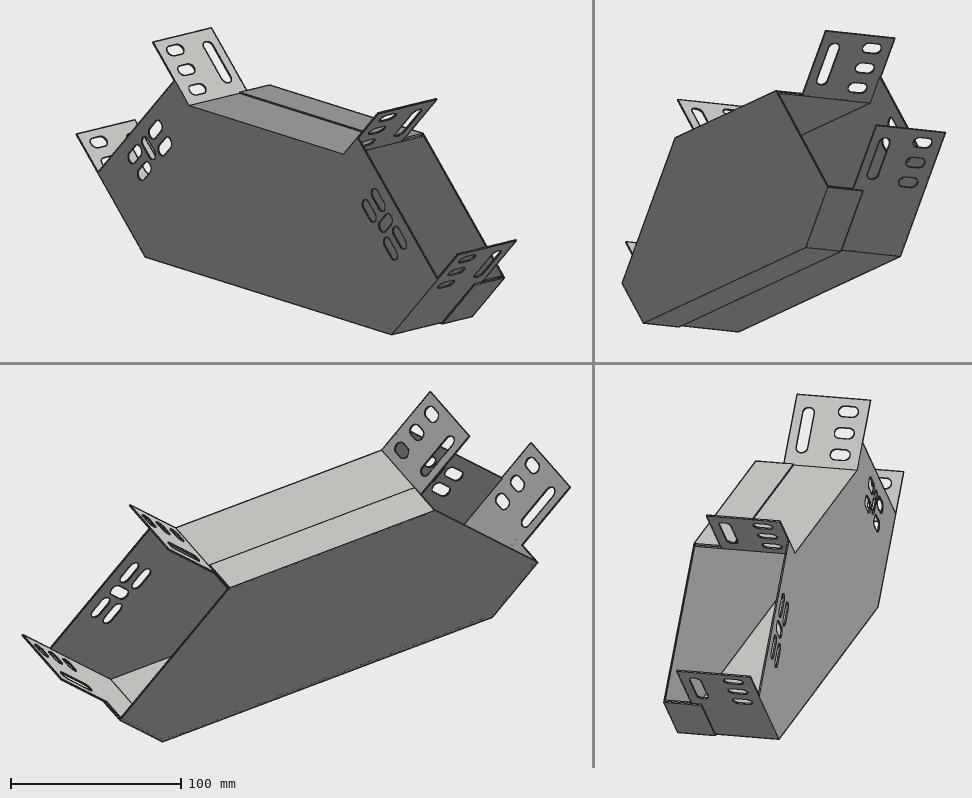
import cadquery as cq
import math

sheet = 0.8
clear_width = 100.0
clear_depth = 60.0
outer_run = 225.2
outer_leg = 60.4
tab_length = 27.2
tab_depth = 44.8
cover_lip = 23.0
tray_width = clear_width + 2 * sheet
depth = clear_depth + 2 * sheet

slot_width = 7.0
cutter_reach = 2 * sheet
tab_slot_pitch = 14.0
tab_slot_first = 8.5
tab_short_slots = 3
tab_short_slot = 12.0
tab_short_slot_y = 12.0
tab_long_slot = 29.4
tab_long_slot_inset = 9.0
tab_long_slot_y = tab_depth - tab_long_slot_inset
plate_slot = 15.0
plate_slot_spacing = 27.0
plate_row_insets = (11.25, 23.25)
plate_middle_inset = 15.7

turn_x = -0.41
turn_y = -1.6
turn_z = 1.25

bend = math.radians(45.0)
half_bend = bend / 2
cover_setback = outer_leg - (tray_width + sheet) * math.tan(half_bend)
leg_dir = math.cos(bend)


def bend_point(across):
    """Right-hand bend at a distance across the tray from the outer wall face."""
    return (outer_run / 2 - across * math.tan(half_bend), across)


def end_point(across, past_end):
    """Right-hand leg point at a distance across the tray and past the tray end."""
    along = outer_leg + past_end
    return (outer_run / 2 + (along - across) * leg_dir, (along + across) * leg_dir)


def prism(right_half, y_start, y_stop):
    """Extrude along Y the outline made of the right half points and their mirror image."""
    left_half = [(-x, z) for x, z in reversed(right_half)]
    outline = cq.Workplane("XZ", origin=(0, y_start, 0)).polyline(right_half + left_half).close()
    return outline.extrude(y_start - y_stop)


def elbow(across_start, across_stop, past_end, y_start, y_stop):
    """Band following both bends out to the legs."""
    right_half = [
        bend_point(across_start),
        end_point(across_start, past_end),
        end_point(across_stop, past_end),
        bend_point(across_stop),
    ]
    return prism(right_half, y_start, y_stop)


def middle_run(across_start, across_stop, y_start, y_stop):
    """Straight band between the two bends."""
    return prism([bend_point(across_start), bend_point(across_stop)], y_start, y_stop)


def both_legs(cutter):
    """Add the mirror image on the left leg to a right-leg cutter."""
    return cutter.union(cutter.mirror("YZ"))


def tab_slots(across):
    """Slots through the wall centred at the given distance across, on both legs."""
    def on_wall(from_tip, y):
        x, z = end_point(across, tab_length - from_tip)
        leg = (leg_dir, 0, leg_dir)
        across_leg = (-leg_dir, 0, leg_dir)
        return cq.Workplane(cq.Plane(origin=(x, y, z), xDir=leg, normal=across_leg))

    middle = tab_slot_first + tab_slot_pitch * (tab_short_slots - 1) / 2
    slots = on_wall(middle, tab_long_slot_y).slot2D(tab_long_slot, slot_width)
    slots = slots.extrude(cutter_reach, both=True)
    for step in range(tab_short_slots):
        place = on_wall(tab_slot_first + step * tab_slot_pitch, tab_short_slot_y)
        short_slot = place.slot2D(tab_short_slot, slot_width, 90)
        slots = slots.union(short_slot.extrude(cutter_reach, both=True))
    return both_legs(slots)


def plate_slots():
    """Two rows of slots parallel to each tray end and one slot square to it between them."""
    def slot(across, inset, angle):
        x, z = end_point(across, -inset)
        plane = cq.Plane(origin=(x, 0, z), xDir=(leg_dir, 0, leg_dir), normal=(0, -1, 0))
        return cq.Workplane(plane).slot2D(plate_slot, slot_width, angle).extrude(cutter_reach, both=True)

    slots = slot(tray_width / 2, plate_middle_inset, 0)
    for inset in plate_row_insets:
        for side in (-1, 1):
            slots = slots.union(slot(tray_width / 2 + side * plate_slot_spacing / 2, inset, 90))
    return both_legs(slots)


def make_tray():
    """Front plate, outer and inner walls with end tabs, and all slots."""
    tray = elbow(0, tray_width, 0, 0, sheet)
    inner_wall = tray_width - sheet
    wall_top = depth - sheet
    tray = tray.union(elbow(0, sheet, tab_length, 0, tab_depth))
    tray = tray.union(elbow(inner_wall, tray_width, tab_length, 0, tab_depth))
    tray = tray.union(elbow(0, sheet, -cover_setback, 0, wall_top))
    tray = tray.union(middle_run(inner_wall, tray_width, 0, wall_top))
    for wall_middle in (sheet / 2, tray_width - sheet / 2):
        tray = tray.cut(tab_slots(wall_middle))
    return tray.cut(plate_slots())


def make_cover():
    """Back plate with flanges lapping over the outside of the tray walls."""
    lip_start = depth - cover_lip
    plate_bottom = depth - sheet
    inner_face = tray_width + sheet
    plate_half = [bend_point(-sheet), end_point(-sheet, -cover_setback), bend_point(inner_face)]
    cover = prism(plate_half, plate_bottom, depth)
    cover = cover.union(elbow(-sheet, 0, -cover_setback, lip_start, depth))
    return cover.union(middle_run(tray_width, inner_face, lip_start, depth))


def set_attitude(body):
    """Turn a body about the X, Y and Z axes in that order."""
    for axis, angle in (((1, 0, 0), turn_x), ((0, 1, 0), turn_y), ((0, 0, 1), turn_z)):
        body = body.rotate((0, 0, 0), axis, angle)
    return body


tray = set_attitude(make_tray())
cover = set_attitude(make_cover())
result = cq.Compound.makeCompound([tray.val(), cover.val()])